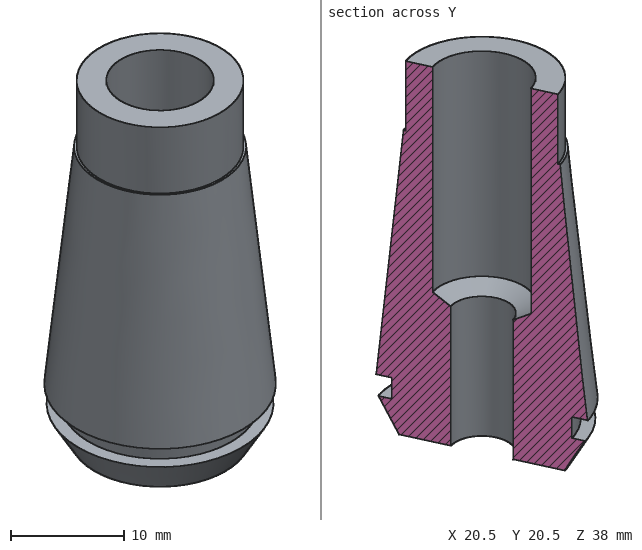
import cadquery as cq
import math

height = 38.0

nose_height = 3.5
groove_width = 2.1
neck_length = 7.05
groove_top = nose_height + groove_width
shoulder_level = height - neck_length

nose_base_radius = 8.0
nose_rim_radius = 10.05
groove_radius = 8.75
body_base_radius = 20.5 / 2
body_top_radius = 7.6
neck_radius = 7.37

bore_radius = 4.75
hole_radius = 3.0
bore_depth = 22.8
floor_half_angle = 59.0
floor_depth = (bore_radius - hole_radius) / math.tan(math.radians(floor_half_angle))
floor_top = height - bore_depth


def revolve_profile(points):
    """Turn a closed (radius, Z) outline about the Z axis."""
    return cq.Workplane("XZ").polyline(points).close().revolve(360, (0, 0), (0, 1))


outer_body = revolve_profile([
    (0, 0),
    (nose_base_radius, 0),
    (nose_rim_radius, nose_height),
    (groove_radius, nose_height),
    (groove_radius, groove_top),
    (body_base_radius, groove_top),
    (body_top_radius, shoulder_level),
    (neck_radius, shoulder_level),
    (neck_radius, height),
    (0, height),
])

bore = revolve_profile([
    (0, 0),
    (hole_radius, 0),
    (hole_radius, floor_top - floor_depth),
    (bore_radius, floor_top),
    (bore_radius, height),
    (0, height),
])

result = outer_body.cut(bore)